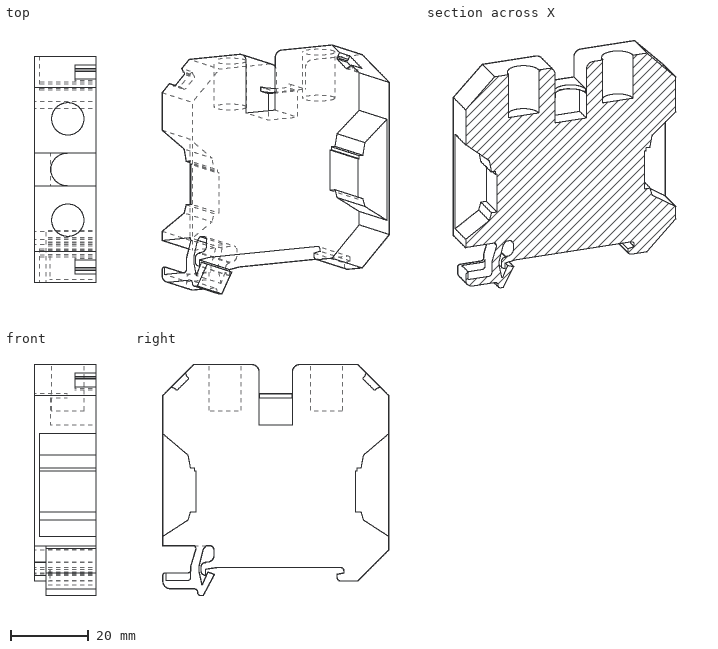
import cadquery as cq
import math


thickness = 15.9
length = 58.0
height = 59.35
corner_cut = 8.0
mid_y = length / 2
front_base_z = 12.8

groove_width = 8.5
groove_depth = 7.5
groove_edge_radius = 2.0
groove_floor_z = height - groove_depth

well_diameter = 8.3
well_depth = 12.0
well_x = 8.6
well_offset_y = 13.0

opening_radius = well_diameter / 2
opening_x = 8.4
floor_skin = 1.1
chamber_depth = 8.0

notch_length = 5.4
notch_mouth_half = 2.55
notch_wall_half = 2.2
notch_floor_half = 1.95
notch_flare_depth = 0.92
notch_wall_depth = 1.41
notch_depth = 1.66

entry_wall = 1.3
entry_bottom_z = 15.2
entry_top_z = 41.56
entry_shoulder_y = 6.5
entry_lower_shoulder_z = 19.4
entry_upper_shoulder_z = 36.05
entry_lip_y = 7.1
entry_ledge_z = 21.5
entry_overhang_z = 32.8
entry_step_y = 8.2
entry_step_z = 32.0
entry_back_y = 8.6

foot_bottom_z = 3.7
rail_seat_z = 7.17
foot_toe_y = 44.7
foot_toe_z = 5.5
foot_toe_radius = 1.1
rail_slot_y = 46.45
rail_slot_z = 5.85
rail_slot_radius = 0.75

hook_root_y = 13.85
hook_heel_y = 11.0
hook_heel_z = 6.75
hook_bottom_z = 5.2
hook_tip_y = 9.8
hook_tip_radius = 1.15
hook_top_z = 8.5
hook_step_y = 11.0
hook_step_z = 8.7
relief_arc_end_y = 11.85
relief_back_y = 13.1
relief_back_low_z = 10.5
relief_back_high_z = 11.6
relief_top_y = 12.2

spring_x = 3.0
arm_root_inner_y = 11.2
arm_neck_inner_y = 10.43
arm_neck_inner_z = 11.93
arm_waist_inner_y = 9.35
arm_waist_high_z = 7.6
arm_waist_low_z = 6.2
arm_root_outer_y = 8.2
arm_neck_outer_y = 8.53
arm_neck_outer_z = 12.1
arm_outer_y = 7.17
bar_top_z = 5.87
bar_bottom_z = 1.74
bar_root_radius = 0.65
bar_top_radius = 0.7
bar_bottom_radius = 2.0
claw_gap_y = 10.1
claw_gap_z = 2.75
claw_tip_inner_y = 11.58
claw_tip_inner_z = 6.1
claw_tip_outer_y = 13.3
claw_tip_outer_z = 5.45
claw_toe_y = 10.4
claw_heel_y = 8.93
claw_heel_radius = bar_bottom_z / 2

trough_rim = 1.0
trough_lip = 0.8
trough_depth = 2.0
trough_radius = 0.8

diagonal = math.sqrt(0.5)


def side_plane(x):
    """Sketch plane across the thickness at x; its local axes are Y and Z."""
    return cq.Workplane("YZ", origin=(x, 0, 0))


def mirrored_to_rear(shape):
    return shape.mirror("XZ", (0, mid_y, 0))


def arc_middle(center_y, center_z, radius, direction_y, direction_z):
    """Point on a quarter round, halfway between its two tangent lines."""
    return (center_y + direction_y * radius * diagonal, center_z + direction_z * radius * diagonal)


def make_housing():
    tip_high = hook_top_z - hook_tip_radius
    tip_low = hook_bottom_z + hook_tip_radius
    tip_center_y = hook_tip_y + hook_tip_radius
    slot_center_y = rail_slot_y - rail_slot_radius
    slot_center_z = rail_seat_z - rail_slot_radius
    toe_center_y = foot_toe_y + foot_toe_radius
    toe_center_z = foot_bottom_z + foot_toe_radius
    relief_radius_y = relief_back_y - relief_arc_end_y
    relief_radius_z = relief_back_low_z - hook_step_z
    relief_middle = (
        relief_arc_end_y + relief_radius_y * diagonal,
        relief_back_low_z - relief_radius_z * diagonal,
    )
    relief_top_middle = (
        relief_top_y + (relief_back_y - relief_top_y) * diagonal,
        relief_back_high_z + (front_base_z - relief_back_high_z) * diagonal,
    )
    outline = (
        side_plane(0)
        .moveTo(0, front_base_z)
        .lineTo(0, height - corner_cut)
        .lineTo(corner_cut, height)
        .lineTo(length - corner_cut, height)
        .lineTo(length, height - corner_cut)
        .lineTo(length, foot_bottom_z + corner_cut)
        .lineTo(length - corner_cut, foot_bottom_z)
        .lineTo(toe_center_y, foot_bottom_z)
        .threePointArc(
            arc_middle(toe_center_y, toe_center_z, foot_toe_radius, -1, -1),
            (foot_toe_y, toe_center_z),
        )
        .lineTo(foot_toe_y, foot_toe_z)
        .lineTo(rail_slot_y, rail_slot_z)
        .lineTo(rail_slot_y, slot_center_z)
        .threePointArc(
            arc_middle(slot_center_y, slot_center_z, rail_slot_radius, 1, 1),
            (slot_center_y, rail_seat_z),
        )
        .lineTo(hook_root_y, rail_seat_z)
        .lineTo(hook_heel_y, hook_heel_z)
        .lineTo(hook_heel_y, hook_bottom_z)
        .lineTo(tip_center_y, hook_bottom_z)
        .threePointArc(
            arc_middle(tip_center_y, tip_low, hook_tip_radius, -1, -1),
            (hook_tip_y, tip_low),
        )
        .lineTo(hook_tip_y, tip_high)
        .threePointArc(
            arc_middle(tip_center_y, tip_high, hook_tip_radius, -1, 1),
            (tip_center_y, hook_top_z),
        )
        .lineTo(hook_step_y, hook_top_z)
        .lineTo(hook_step_y, hook_step_z)
        .lineTo(relief_arc_end_y, hook_step_z)
        .threePointArc(relief_middle, (relief_back_y, relief_back_low_z))
        .lineTo(relief_back_y, relief_back_high_z)
        .threePointArc(relief_top_middle, (relief_top_y, front_base_z))
        .close()
    )
    return outline.extrude(thickness)


def make_groove():
    half = groove_width / 2
    rounding_z = height - groove_edge_radius
    mouth_half = half + groove_edge_radius
    return (
        side_plane(0)
        .moveTo(mid_y - half, groove_floor_z)
        .lineTo(mid_y + half, groove_floor_z)
        .lineTo(mid_y + half, rounding_z)
        .threePointArc(
            arc_middle(mid_y + mouth_half, rounding_z, groove_edge_radius, -1, 1),
            (mid_y + mouth_half, height),
        )
        .lineTo(mid_y - mouth_half, height)
        .threePointArc(
            arc_middle(mid_y - mouth_half, rounding_z, groove_edge_radius, 1, 1),
            (mid_y - half, rounding_z),
        )
        .close()
        .extrude(thickness)
    )


def make_wells():
    return (
        cq.Workplane("XY", origin=(well_x, mid_y, height))
        .pushPoints([(0, -well_offset_y), (0, well_offset_y)])
        .circle(well_diameter / 2)
        .extrude(-well_depth)
    )


def make_groove_opening():
    """Half-round opening through the groove floor; the chamber below runs out at the +X side."""
    bottom_z = groove_floor_z - chamber_depth

    def channel(start_x, depth):
        return cq.Workplane("XY", origin=(start_x, mid_y, bottom_z)).box(
            thickness - start_x, groove_width, depth, centered=(False, True, False)
        )

    opening = (
        cq.Workplane("XY", origin=(opening_x, mid_y, groove_floor_z))
        .circle(opening_radius)
        .extrude(-chamber_depth)
    )
    slot = channel(opening_x, chamber_depth)
    chamber = channel(opening_x - groove_width / 2, chamber_depth - floor_skin)
    return opening.union(slot).union(chamber)


def make_marker_notch():
    """Flared notch in the middle of the front upper corner cut, open at the +X side."""
    middle_y = corner_cut / 2
    middle_z = height - corner_cut / 2
    upper_half = [
        (notch_mouth_half, 0),
        (notch_wall_half, notch_flare_depth),
        (notch_wall_half, notch_wall_depth),
        (notch_floor_half, notch_depth),
    ]
    lower_half = [(-along, depth) for along, depth in reversed(upper_half)]
    corners = [
        (middle_y + (along + depth) * diagonal, middle_z + (along - depth) * diagonal)
        for along, depth in upper_half + lower_half
    ]
    return side_plane(thickness - notch_length).polyline(corners).close().extrude(notch_length)


def make_wire_entry():
    corners = [
        (0, entry_bottom_z),
        (entry_shoulder_y, entry_lower_shoulder_z),
        (entry_lip_y, entry_ledge_z),
        (entry_back_y, entry_ledge_z),
        (entry_back_y, entry_step_z),
        (entry_step_y, entry_step_z),
        (entry_step_y, entry_overhang_z),
        (entry_lip_y, entry_overhang_z),
        (entry_shoulder_y, entry_upper_shoulder_z),
        (0, entry_top_z),
    ]
    return side_plane(entry_wall).polyline(corners).close().extrude(thickness - entry_wall)


def make_spring_foot():
    root_z = bar_top_z + bar_root_radius
    root_y = arm_outer_y - bar_root_radius
    top_z = bar_top_z - bar_top_radius
    low_z = bar_bottom_z + bar_bottom_radius
    heel_start_y = claw_heel_y - claw_heel_radius
    heel_end_y = claw_heel_y + claw_heel_radius
    outline = (
        side_plane(spring_x)
        .moveTo(arm_root_outer_y, front_base_z)
        .lineTo(arm_neck_outer_y, arm_neck_outer_z)
        .lineTo(arm_outer_y, arm_waist_high_z)
        .lineTo(arm_outer_y, root_z)
        .threePointArc(arc_middle(root_y, root_z, bar_root_radius, 1, -1), (root_y, bar_top_z))
        .lineTo(bar_top_radius, bar_top_z)
        .threePointArc(arc_middle(bar_top_radius, top_z, bar_top_radius, -1, 1), (0, top_z))
        .lineTo(0, low_z)
        .threePointArc(
            arc_middle(bar_bottom_radius, low_z, bar_bottom_radius, -1, -1),
            (bar_bottom_radius, bar_bottom_z),
        )
        .lineTo(heel_start_y, bar_bottom_z)
        .threePointArc(
            arc_middle(heel_start_y, claw_heel_radius, claw_heel_radius, 1, 1),
            (claw_heel_y, claw_heel_radius),
        )
        .threePointArc(
            arc_middle(heel_end_y, claw_heel_radius, claw_heel_radius, -1, -1),
            (heel_end_y, 0),
        )
        .lineTo(claw_toe_y, 0)
        .lineTo(claw_tip_outer_y, claw_tip_outer_z)
        .lineTo(claw_tip_inner_y, claw_tip_inner_z)
        .lineTo(claw_gap_y, claw_gap_z)
        .lineTo(arm_waist_inner_y, arm_waist_low_z)
        .lineTo(arm_waist_inner_y, arm_waist_high_z)
        .lineTo(arm_neck_inner_y, arm_neck_inner_z)
        .lineTo(arm_root_inner_y, front_base_z)
        .close()
    )
    return outline.extrude(thickness - spring_x)


def make_bar_trough():
    """Trough behind a lip, with a rim at one end and open at the +X side."""
    start_x = spring_x + trough_rim
    floor_z = bar_top_z - trough_depth
    top_z = bar_top_z + bar_root_radius
    round_y = arm_outer_y - trough_radius
    round_z = floor_z + trough_radius
    return (
        side_plane(start_x)
        .moveTo(trough_lip, top_z)
        .lineTo(trough_lip, floor_z)
        .lineTo(round_y, floor_z)
        .threePointArc(arc_middle(round_y, round_z, trough_radius, 1, -1), (arm_outer_y, round_z))
        .lineTo(arm_outer_y, top_z)
        .close()
        .extrude(thickness - start_x)
    )


marker_notch = make_marker_notch()
wire_entry = make_wire_entry()

result = (
    make_housing()
    .cut(make_groove())
    .cut(make_wells())
    .cut(make_groove_opening())
    .cut(marker_notch)
    .cut(mirrored_to_rear(marker_notch))
    .cut(wire_entry)
    .cut(mirrored_to_rear(wire_entry))
    .union(make_spring_foot().cut(make_bar_trough()))
)